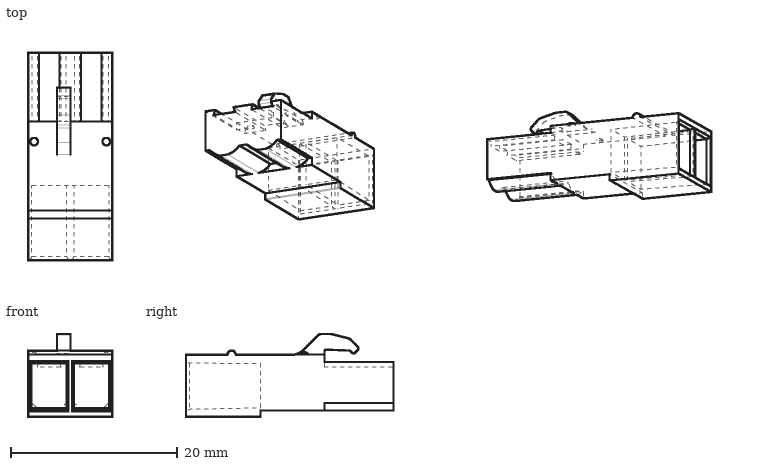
import cadquery as cq
import math

POLES = 2
PITCH = 5.08
WIDTH = POLES * PITCH
LENGTH = 25.0
BODY_TOP = 7.5
REAR_STEP_Y = 16.7
REAR_TOP = 6.64
RAISED_BOTTOM = 0.77
FOOT_LENGTH = 9.0
FOOT_EDGE_RADIUS = 0.1

KEEL_HEIGHT = 0.9
KEEL_RADIUS = 2.7
KEEL_CENTER_HEIGHT = 2.66

POCKET_WIDTH = 4.2
POCKET_BOTTOM = 0.92
POCKET_TOP = 6.5
POCKET_DEPTH = FOOT_LENGTH
POCKET_CHAMFER = 0.25
POCKET_CHAMFER_DEPTH = 0.43
FLOOR_RISE = 0.18
CEILING_DROP = 0.08

GROOVE_MOUTH = 2.5
GROOVE_DEPTH = 0.63
GROOVE_UNDERCUT = 0.18

RIDGE_Y = 5.5
RIDGE_RADIUS = 0.5
BUMP_X = 4.35
BUMP_Y = 14.29
BUMP_RADIUS = 0.46
BUMP_HEIGHT = 0.3

LEVER_LEFT = -1.62
LEVER_WIDTH = 1.67
LEVER_TOP = 10.0
LEVER_RAMP_FOOT_Y = 13.57
LEVER_RAMP_RADIUS = 2.0
LEVER_CREST_REAR_Y = 17.49
LEVER_CREST_RADIUS = 0.5
LEVER_SHOULDER = (19.69, 9.46)
LEVER_SHOULDER_RADIUS = 0.8
LEVER_NOSE = (20.9, 8.25)
LEVER_HOOK_TIP = (20.18, 7.53)
LEVER_HOOK_RADIUS = 0.3
LEVER_HOOK_ROOT = (19.73, 7.98)
LEVER_UNDERSIDE = 8.1
LEVER_ROOT_RADIUS = 0.2


def rounded_outline(plane, corners):
    """Closed outline through (u, v, radius) corners, each rounded by its own radius."""
    path = None
    for i, (u, v, radius) in enumerate(corners):
        corner = cq.Vector(u, v)
        before = (cq.Vector(*corners[i - 1][:2]) - corner).normalized()
        after = (cq.Vector(*corners[(i + 1) % len(corners)][:2]) - corner).normalized()
        half_angle = before.getAngle(after) / 2
        setback = radius / math.tan(half_angle)
        arc_start = (corner + before * setback).toTuple()[:2]
        path = plane.moveTo(*arc_start) if path is None else path.lineTo(*arc_start)
        if radius > 0:
            bisector = (before + after).normalized()
            arc_middle = corner + bisector * (radius / math.sin(half_angle) - radius)
            arc_end = corner + after * setback
            path = path.threePointArc(arc_middle.toTuple()[:2], arc_end.toTuple()[:2])
    return path.close()


def housing():
    outline = [
        (0, 0, 0),
        (FOOT_LENGTH, 0, FOOT_EDGE_RADIUS),
        (FOOT_LENGTH, RAISED_BOTTOM, 0),
        (LENGTH, RAISED_BOTTOM, 0),
        (LENGTH, REAR_TOP, 0),
        (REAR_STEP_Y, REAR_TOP, 0),
        (REAR_STEP_Y, BODY_TOP, 0),
        (0, BODY_TOP, 0),
    ]
    plane = cq.Workplane("YZ", origin=(-WIDTH / 2, 0, 0))
    return rounded_outline(plane, outline).extrude(WIDTH)


def pocket(x_center):
    """Mating pocket with a chamfered mouth; floor and ceiling close in towards the back."""
    x_min = x_center - POCKET_WIDTH / 2
    cavity = (
        cq.Workplane("YZ", origin=(x_min, 0, 0))
        .moveTo(0, POCKET_BOTTOM)
        .lineTo(POCKET_DEPTH, POCKET_BOTTOM + FLOOR_RISE)
        .lineTo(POCKET_DEPTH, POCKET_TOP - CEILING_DROP)
        .lineTo(0, POCKET_TOP)
        .close()
        .extrude(POCKET_WIDTH)
    )
    height = POCKET_TOP - POCKET_BOTTOM
    mouth = (
        cq.Workplane("XZ", origin=(x_center, 0, POCKET_BOTTOM + height / 2))
        .rect(POCKET_WIDTH + 2 * POCKET_CHAMFER, height + 2 * POCKET_CHAMFER)
        .workplane(offset=-POCKET_CHAMFER_DEPTH)
        .rect(POCKET_WIDTH, height)
        .loft(ruled=True)
    )
    return cavity.union(mouth)


def dovetail_groove(x_center):
    half_mouth = GROOVE_MOUTH / 2
    half_floor = half_mouth + GROOVE_UNDERCUT
    return (
        cq.Workplane("XZ", origin=(x_center, LENGTH, REAR_TOP))
        .polyline([
            (-half_mouth, 0),
            (-half_floor, -GROOVE_DEPTH),
            (half_floor, -GROOVE_DEPTH),
            (half_mouth, 0),
        ])
        .close()
        .extrude(LENGTH - REAR_STEP_Y)
    )


def rear_underside(x_center):
    """Material removed below one pole, leaving a flat-bottomed round keel between two ledges."""
    rear_length = LENGTH - REAR_STEP_Y
    slab = (
        cq.Workplane("XY", origin=(x_center, REAR_STEP_Y + rear_length / 2, 0))
        .rect(PITCH, rear_length)
        .extrude(RAISED_BOTTOM + KEEL_HEIGHT)
    )
    keel = (
        cq.Workplane("XZ", origin=(x_center, LENGTH, RAISED_BOTTOM + KEEL_CENTER_HEIGHT))
        .circle(KEEL_RADIUS)
        .extrude(rear_length)
    )
    return slab.cut(keel)


def grip_ridge():
    return (
        cq.Workplane("YZ", origin=(-WIDTH / 2, RIDGE_Y, BODY_TOP))
        .circle(RIDGE_RADIUS)
        .extrude(WIDTH)
    )


def marker_bump(x_center):
    """Spherical cap standing on the body top."""
    sphere_radius = (BUMP_RADIUS**2 + BUMP_HEIGHT**2) / (2 * BUMP_HEIGHT)
    sphere_z = BODY_TOP + BUMP_HEIGHT - sphere_radius
    return cq.Workplane("XY").sphere(sphere_radius).translate((x_center, BUMP_Y, sphere_z))


def latch_lever():
    ramp_top_y = LEVER_RAMP_FOOT_Y + LEVER_TOP - BODY_TOP
    ramp_runout_y = LEVER_RAMP_FOOT_Y - LEVER_RAMP_RADIUS
    outline = [
        (REAR_STEP_Y, REAR_TOP, 0),
        (REAR_STEP_Y, LEVER_UNDERSIDE, LEVER_ROOT_RADIUS),
        (*LEVER_HOOK_ROOT, 0),
        (*LEVER_HOOK_TIP, LEVER_HOOK_RADIUS),
        (*LEVER_NOSE, LEVER_HOOK_RADIUS),
        (*LEVER_SHOULDER, LEVER_SHOULDER_RADIUS),
        (LEVER_CREST_REAR_Y, LEVER_TOP, 0),
        (ramp_top_y, LEVER_TOP, LEVER_CREST_RADIUS),
        (LEVER_RAMP_FOOT_Y, BODY_TOP, LEVER_RAMP_RADIUS),
        (ramp_runout_y, BODY_TOP, 0),
        (ramp_runout_y, REAR_TOP, 0),
    ]
    plane = cq.Workplane("YZ", origin=(LEVER_LEFT, 0, 0))
    return rounded_outline(plane, outline).extrude(LEVER_WIDTH)


pole_centers = [(i - (POLES - 1) / 2) * PITCH for i in range(POLES)]

result = housing().union(grip_ridge()).union(latch_lever())
for side in (-1, 1):
    result = result.union(marker_bump(side * BUMP_X))
for x_center in pole_centers:
    result = result.cut(rear_underside(x_center))
    result = result.cut(dovetail_groove(x_center))
    result = result.cut(pocket(x_center))